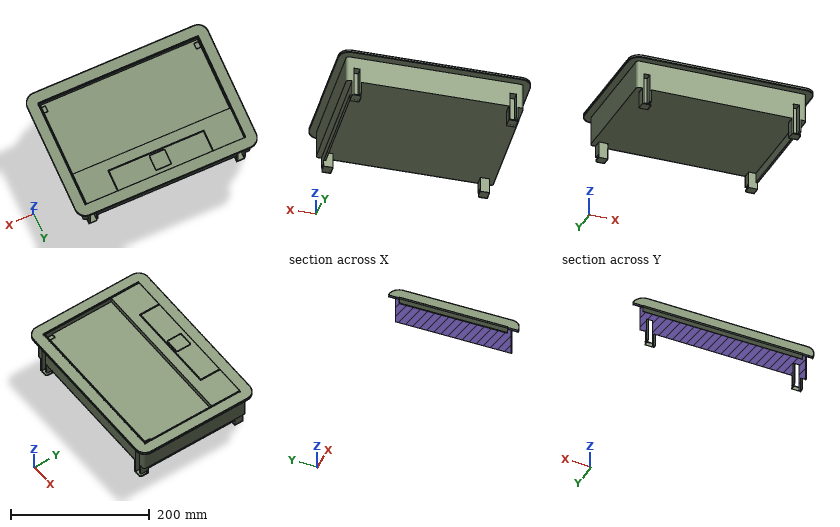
import cadquery as cq


PLATE_X = 285.0
PLATE_Y = 202.0
PLATE_RADIUS = 16.0
STACK_THICKNESS = 4.5
FLANGE_THICKNESS = 1.57
FRAME_BOTTOM = FLANGE_THICKNESS - STACK_THICKNESS
FLANGE_BOTTOM = -STACK_THICKNESS

BOX_X = 263.0
BOX_Y = 181.3
BOX_RADIUS = 4.0
BOX_BOTTOM = -48.5

TOTAL_HEIGHT = 74.0
LEG_BOTTOM = -TOTAL_HEIGHT
LEG_SIZE = 14.0
LEG_CENTRE_X = 116.3
SLOT_CENTRE_X = 116.0
SLOT_WIDTH = 9.0
SLOT_DEPTH = 11.5
SLOT_TOP = -24.2
FOOT_THICKNESS = 1.7
SLOT_BOTTOM = LEG_BOTTOM + FOOT_THICKNESS
NOTCH_HEIGHT = 4.3
FOOT_RADIUS = 3.0

RAIL_BOTTOM = -63.5
RAIL_THICKNESS = 2.8

OPENING_X = 252.8
OPENING_Y = 168.7
OPENING_REAR = OPENING_Y / 2

LID_GAP = 1.0
RIM_THICKNESS = 1.0
RIM_TOP = -0.5
BLOCK_TOP = -0.43
FLOOR_TOP = -8.3
FLOOR_THICKNESS = 2.8
LID_BOTTOM = FLOOR_TOP - FLOOR_THICKNESS
LID_X = OPENING_X - 2 * LID_GAP
LID_FRONT = -OPENING_Y / 2 + LID_GAP
TRAY_X = LID_X - 2 * RIM_THICKNESS
TRAY_FRONT = LID_FRONT + RIM_THICKNESS
BLOCK_FRONT = 34.8
POCKET_LENGTH = 7.0
POCKET_FRONT = -78.7
POCKET_REAR = -69.5
POCKET_DEPTH = 2.0

GROOVE_DEPTH = 0.9
FLAP_X = 148.8
FLAP_FRONT = 51.3
FLAP_GROOVE_WIDTH = 1.0
BUTTON_CENTRE_Y = 65.8
BUTTON_SIZE = 24.8
BUTTON_RADIUS = 1.7
BUTTON_GROOVE_WIDTH = 0.43


def block(x_range, y_range, z_range):
    """Axis-aligned block given by its two limits along each axis."""
    x0, x1 = x_range
    y0, y1 = y_range
    z0, z1 = z_range
    return cq.Workplane("XY").box(x1 - x0, y1 - y0, z1 - z0, centered=False).translate((x0, y0, z0))


def rounded_plate(length, width, radius, bottom, top):
    """Centred rectangular plate with rounded vertical edges."""
    plate = cq.Workplane("XY").workplane(offset=bottom).rect(length, width).extrude(top - bottom)
    return plate.edges("|Z").fillet(radius)


def leg_post(side):
    """Front leg at side -1 (left) or +1 (right), with a notch at the foot through its +X wall."""
    x0 = side * LEG_CENTRE_X - LEG_SIZE / 2
    x1 = x0 + LEG_SIZE
    y0 = -BOX_Y / 2
    y1 = y0 + LEG_SIZE
    wall_x = side * SLOT_CENTRE_X + SLOT_WIDTH / 2
    notch_top = SLOT_BOTTOM + NOTCH_HEIGHT

    foot = block((x0, x1), (y0, y1), (LEG_BOTTOM, SLOT_BOTTOM))
    foot = foot.edges("|Z and >X and <Y").fillet(FOOT_RADIUS)

    wall = block((wall_x, x1), (y0, y1), (notch_top, BOX_BOTTOM))
    wall = wall.edges("|X and <Y and <Z").fillet(FOOT_RADIUS)

    back = block((wall_x, x1), (y0 + SLOT_DEPTH, y1), (SLOT_BOTTOM, notch_top))
    body = block((x0, wall_x), (y0, y1), (SLOT_BOTTOM, BOX_BOTTOM))
    return body.union(foot).union(back).union(wall)


def leg_slot(side):
    """Vertical slot, open to the front, that runs down a front leg and ends above its foot."""
    centre = side * SLOT_CENTRE_X
    front = -BOX_Y / 2
    return block(
        (centre - SLOT_WIDTH / 2, centre + SLOT_WIDTH / 2),
        (front, front + SLOT_DEPTH),
        (SLOT_BOTTOM, SLOT_TOP),
    )


def leg_rail():
    """Rail along the outer side of the +X legs, filling the space between them."""
    outside = LEG_CENTRE_X + LEG_SIZE / 2
    half_length = BOX_Y / 2 - LEG_SIZE
    return block((outside - RAIL_THICKNESS, outside), (-half_length, half_length), (RAIL_BOTTOM, BOX_BOTTOM))


def lid_opening():
    """Space for the lid, through the frame and down into the housing."""
    return block((-OPENING_X / 2, OPENING_X / 2), (-OPENING_Y / 2, OPENING_REAR), (LID_BOTTOM, 0))


def make_housing():
    housing = rounded_plate(PLATE_X, PLATE_Y, PLATE_RADIUS, FLANGE_BOTTOM, FRAME_BOTTOM)
    housing = housing.union(rounded_plate(BOX_X, BOX_Y, BOX_RADIUS, BOX_BOTTOM, FLANGE_BOTTOM))
    for turn in (0, 180):
        for side in (-1, 1):
            housing = housing.union(leg_post(side).rotate((0, 0, 0), (0, 0, 1), turn))
            housing = housing.cut(leg_slot(side).rotate((0, 0, 0), (0, 0, 1), turn))
    return housing.union(leg_rail()).cut(lid_opening())


def make_frame():
    return rounded_plate(PLATE_X, PLATE_Y, PLATE_RADIUS, FRAME_BOTTOM, 0).cut(lid_opening())


def flap_groove():
    """U-shaped groove around the front and sides of the flap, open at the rear."""
    groove_bottom = BLOCK_TOP - GROOVE_DEPTH
    outer_half = FLAP_X / 2 + FLAP_GROOVE_WIDTH
    outer = block(
        (-outer_half, outer_half),
        (FLAP_FRONT - FLAP_GROOVE_WIDTH, OPENING_REAR),
        (groove_bottom, BLOCK_TOP),
    )
    flap = block((-FLAP_X / 2, FLAP_X / 2), (FLAP_FRONT, OPENING_REAR), (groove_bottom, BLOCK_TOP))
    return outer.cut(flap)


def button_groove():
    """Square ring groove with rounded corners around the button."""
    groove_bottom = BLOCK_TOP - GROOVE_DEPTH
    inner_size = BUTTON_SIZE - 2 * BUTTON_GROOVE_WIDTH
    inner_radius = BUTTON_RADIUS - BUTTON_GROOVE_WIDTH
    outer = rounded_plate(BUTTON_SIZE, BUTTON_SIZE, BUTTON_RADIUS, groove_bottom, BLOCK_TOP)
    inner = rounded_plate(inner_size, inner_size, inner_radius, groove_bottom, BLOCK_TOP)
    return outer.cut(inner).translate((0, BUTTON_CENTRE_Y, 0))


def make_lid():
    lid = block((-LID_X / 2, LID_X / 2), (LID_FRONT, OPENING_REAR), (LID_BOTTOM, RIM_TOP))
    lid = lid.cut(block((-TRAY_X / 2, TRAY_X / 2), (TRAY_FRONT, BLOCK_FRONT), (FLOOR_TOP, RIM_TOP)))
    lid = lid.union(block((-TRAY_X / 2, TRAY_X / 2), (BLOCK_FRONT, OPENING_REAR), (RIM_TOP, BLOCK_TOP)))

    for side in (-1, 1):
        x_limits = sorted((side * TRAY_X / 2, side * (TRAY_X / 2 - POCKET_LENGTH)))
        lid = lid.cut(block(x_limits, (POCKET_FRONT, POCKET_REAR), (FLOOR_TOP - POCKET_DEPTH, FLOOR_TOP)))

    return lid.cut(flap_groove()).cut(button_groove())


housing = make_housing()
frame = make_frame()
lid = make_lid()

result = cq.Compound.makeCompound([housing.val(), frame.val(), lid.val()])